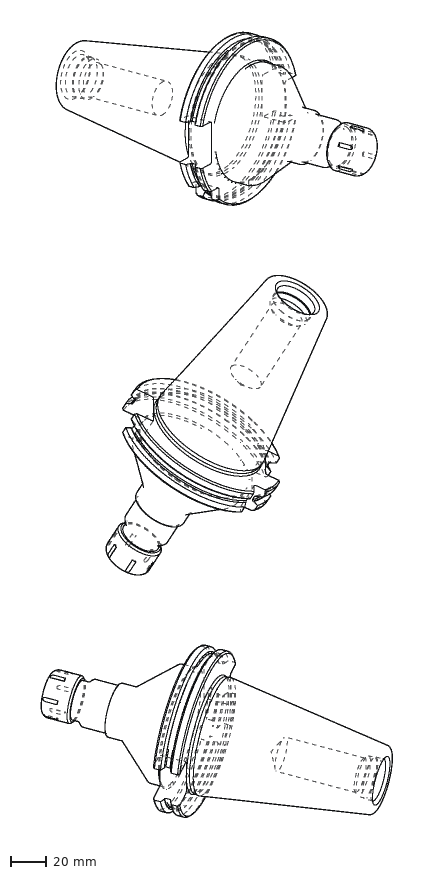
import cadquery as cq
import math


TAPER_RATE = 7 / 24
GAUGE_X = 101.6
GAUGE_DIAMETER = 70.0
TAPER_END_X = 100.8
SHANK_EDGE_FILLET = 2.5
RELIEF_R = 34.5
RELIEF_START_X = 102.0
RELIEF_END_X = 103.2

FLANGE_START_X = 104.8
FLANGE_END_X = 120.8
FLANGE_R = 48.8
FLANGE_CHAMFER = 1.0
GROOVE_X = 112.9
GROOVE_DEPTH = 3.5
GROOVE_TOP_HALF = 3.2
GROOVE_FLOOR_HALF = 1.8
GROOVE_FLOOR_FILLET = 0.6
GROOVE_BEVEL_ANGLE = 30
GROOVE_BEVEL_DEPTH = (GROOVE_TOP_HALF - GROOVE_FLOOR_HALF) / math.tan(math.radians(GROOVE_BEVEL_ANGLE))

SLOT_WIDTH = 25.8
SLOT_FLOOR_PLUS_Y = 35.3
SLOT_FLOOR_MINUS_Y = 37.3
NOTCH_SIDE = 30.0
CUT_FILLET = 1.2
CUT_CLEARANCE = 2.0

HUB_R = 35.0
HUB_FILLET = 1.0
HUB_END_X = 130.0
HUB_EDGE_FILLET = 1.0
COLLAR_START_X = 151.8
COLLAR_START_FILLET = 1.6
COLLAR_R = 16.0
COLLAR_END_X = 161.5
COLLAR_EDGE_FILLET = 1.0
NOSE_R = 14.1
NOSE_STEP_FILLET = COLLAR_R - NOSE_R - COLLAR_EDGE_FILLET
NOSE_END_X = 176.8
NOSE_EDGE_FILLET = 1.0
NECK_R = 11.7
NECK_START_X = NOSE_END_X + NOSE_R - NECK_R
NECK_FILLET = 1.5

NUT_START_X = 183.5
NUT_END_X = 201.5
NUT_R = 14.1
NUT_BACK_CHAMFER = 1.2
NUT_FRONT_FILLET = 4.0
NUT_SLOT_COUNT = 6
NUT_SLOT_START_X = 191.3
NUT_SLOT_R = 1.2
NUT_SLOT_FLOOR = 13.1

MOUTH_R = 14.3
COUNTERSINK_R = 13.7
COUNTERSINK_DEPTH = 0.5
PILOT_R = 12.3
PILOT_END_X = 6.7
THREAD_R = 11.9
THREAD_END_X = 10.9
DRILL_R = 10.0
DRILL_END_X = 60.5
DRILL_POINT_ANGLE = 118


def taper_radius(x):
    return GAUGE_DIAMETER / 2 - (GAUGE_X - x) * TAPER_RATE / 2


def revolve_about_x(outline):
    return outline.close().revolve(360, (0, 0, 0), (1, 0, 0))


def circle_at(x):
    """Selector for the circular edge centred on the axis at x."""
    reach = 0.02
    return cq.selectors.BoxSelector((x - reach, -reach, -reach), (x + reach, reach, reach))


def make_holder_blank():
    groove_left_x = GROOVE_X - GROOVE_FLOOR_HALF
    groove_right_x = GROOVE_X + GROOVE_FLOOR_HALF
    groove_wall_r = FLANGE_R - GROOVE_BEVEL_DEPTH
    groove_floor_r = FLANGE_R - GROOVE_DEPTH
    flange_rim_r = FLANGE_R - FLANGE_CHAMFER
    nose_fillet_end_x = COLLAR_END_X + NOSE_STEP_FILLET
    outline = (
        cq.Workplane("XY")
        .moveTo(0, 0)
        .lineTo(0, taper_radius(0))
        .lineTo(TAPER_END_X, taper_radius(TAPER_END_X))
        .lineTo(RELIEF_START_X, RELIEF_R)
        .lineTo(RELIEF_END_X, RELIEF_R)
        .lineTo(FLANGE_START_X, HUB_R)
        .lineTo(FLANGE_START_X, flange_rim_r)
        .lineTo(FLANGE_START_X + FLANGE_CHAMFER, FLANGE_R)
        .lineTo(GROOVE_X - GROOVE_TOP_HALF, FLANGE_R)
        .lineTo(groove_left_x, groove_wall_r)
        .lineTo(groove_left_x, groove_floor_r + GROOVE_FLOOR_FILLET)
        .radiusArc((groove_left_x + GROOVE_FLOOR_FILLET, groove_floor_r), -GROOVE_FLOOR_FILLET)
        .lineTo(groove_right_x - GROOVE_FLOOR_FILLET, groove_floor_r)
        .radiusArc((groove_right_x, groove_floor_r + GROOVE_FLOOR_FILLET), -GROOVE_FLOOR_FILLET)
        .lineTo(groove_right_x, groove_wall_r)
        .lineTo(GROOVE_X + GROOVE_TOP_HALF, FLANGE_R)
        .lineTo(FLANGE_END_X - FLANGE_CHAMFER, FLANGE_R)
        .lineTo(FLANGE_END_X, flange_rim_r)
        .lineTo(FLANGE_END_X, HUB_R + HUB_FILLET)
        .radiusArc((FLANGE_END_X + HUB_FILLET, HUB_R), -HUB_FILLET)
        .lineTo(HUB_END_X, HUB_R)
        .lineTo(COLLAR_START_X, COLLAR_R)
        .lineTo(COLLAR_END_X - COLLAR_EDGE_FILLET, COLLAR_R)
        .radiusArc((COLLAR_END_X, COLLAR_R - COLLAR_EDGE_FILLET), COLLAR_EDGE_FILLET)
        .radiusArc((nose_fillet_end_x, NOSE_R), -NOSE_STEP_FILLET)
        .lineTo(NOSE_END_X, NOSE_R)
        .lineTo(NECK_START_X, NECK_R)
        .lineTo(NUT_START_X, NECK_R)
        .lineTo(NUT_START_X, 0)
    )
    blank = revolve_about_x(outline)
    rounded_edges = [
        (0, SHANK_EDGE_FILLET),
        (HUB_END_X, HUB_EDGE_FILLET),
        (COLLAR_START_X, COLLAR_START_FILLET),
        (NOSE_END_X, NOSE_EDGE_FILLET),
        (NECK_START_X, NECK_FILLET),
    ]
    for x, radius in rounded_edges:
        blank = blank.edges(circle_at(x)).fillet(radius)
    return blank


def make_bore():
    drill_tip_x = DRILL_END_X + DRILL_R / math.tan(math.radians(DRILL_POINT_ANGLE / 2))
    outline = (
        cq.Workplane("XY")
        .moveTo(0, 0)
        .lineTo(0, MOUTH_R)
        .lineTo(COUNTERSINK_DEPTH, COUNTERSINK_R)
        .lineTo(COUNTERSINK_DEPTH + COUNTERSINK_R - PILOT_R, PILOT_R)
        .lineTo(PILOT_END_X, PILOT_R)
        .lineTo(PILOT_END_X + PILOT_R - THREAD_R, THREAD_R)
        .lineTo(THREAD_END_X, THREAD_R)
        .lineTo(THREAD_END_X + THREAD_R - DRILL_R, DRILL_R)
        .lineTo(DRILL_END_X, DRILL_R)
        .lineTo(drill_tip_x, 0)
    )
    return revolve_about_x(outline)


def make_flange_cut(y_inner, y_outer, z_low, z_high):
    """Block through the flange, rounded along the edges at its inner Y face."""
    cut = cq.Workplane("XY").box(
        FLANGE_END_X - FLANGE_START_X, abs(y_outer - y_inner), z_high - z_low
    )
    inner_face = "<Y" if y_outer > y_inner else ">Y"
    cut = cut.faces(inner_face).edges("|X").fillet(CUT_FILLET)
    middle_x = (FLANGE_START_X + FLANGE_END_X) / 2
    return cut.translate((middle_x, (y_inner + y_outer) / 2, (z_low + z_high) / 2))


def make_holder():
    holder = make_holder_blank().cut(make_bore())
    outside = FLANGE_R + CUT_CLEARANCE
    half_slot = SLOT_WIDTH / 2
    holder = holder.cut(make_flange_cut(SLOT_FLOOR_PLUS_Y, outside, -half_slot, half_slot))
    holder = holder.cut(make_flange_cut(-SLOT_FLOOR_MINUS_Y, -outside, -half_slot, half_slot))
    return holder.cut(make_flange_cut(-NOTCH_SIDE, -outside, -outside, -NOTCH_SIDE))


def make_nut():
    nut = (
        cq.Workplane("YZ", origin=(NUT_START_X, 0, 0))
        .circle(NUT_R)
        .extrude(NUT_END_X - NUT_START_X)
    )
    nut = nut.faces("<X").edges().chamfer(NUT_BACK_CHAMFER)
    nut = nut.faces(">X").edges().fillet(NUT_FRONT_FILLET)
    slot = (
        cq.Workplane("YZ", origin=(NUT_SLOT_START_X, 0, NUT_SLOT_FLOOR + NUT_SLOT_R))
        .circle(NUT_SLOT_R)
        .extrude(NUT_END_X - NUT_SLOT_START_X)
    )
    for i in range(NUT_SLOT_COUNT):
        nut = nut.cut(slot.rotate((0, 0, 0), (1, 0, 0), i * 360 / NUT_SLOT_COUNT))
    return nut


holder = make_holder()
nut = make_nut()
result = cq.Compound.makeCompound([holder.val(), nut.val()])